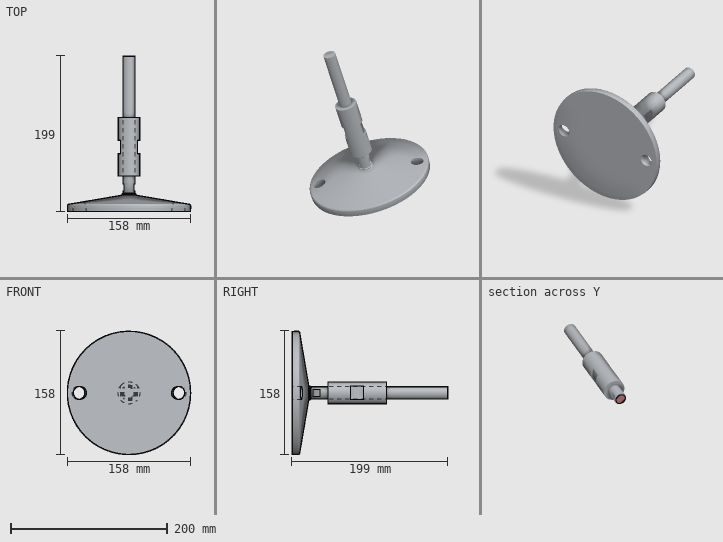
import cadquery as cq
import math

TOTAL_LENGTH = 199.0

FOOT_RADIUS = 79.0
FOOT_BOTTOM_RADIUS = 78.6
RIM_LINE_Y = 4.4
RIM_TOP_Y = 9.4
RIM_ROUNDING = 2.5
CONE_TOP_RADIUS = 10.0
CONE_TOP_Y = 21.0
COLLAR_WAIST_RADIUS = 8.4
COLLAR_WAIST_Y = 22.0
COLLAR_LIP_RADIUS = 9.0
COLLAR_LIP_Y = 22.9
NECK_RADIUS = 6.8
NECK_START_Y = 23.9

FIXING_HOLE_DIAMETER = 16.5
FIXING_HOLE_OFFSET = 62.7

STUD_DIAMETER = 16.0
STUD_START_Y = 24.3
STUD_FLATS_START_Y = 26.3
STUD_FLATS_LENGTH = 9.2
STUD_ACROSS_FLATS = 13.0

SLEEVE_DIAMETER = 28.0
SLEEVE_START_Y = 45.5
SLEEVE_LENGTH = 75.0
SLEEVE_FLATS_START_Y = 74.2
SLEEVE_FLATS_LENGTH = 17.0
SLEEVE_ACROSS_FLATS = 22.0


def cylinder_along_y(diameter, start_y, length):
    """Cylinder on the Y axis, from start_y towards +Y."""
    return cq.Workplane("XZ", origin=(0, start_y, 0)).circle(diameter / 2).extrude(-length)


def cut_wrench_flats(body, diameter, across_flats, start_y, length):
    """Cut a pair of flats that face +X and -X."""
    depth = (diameter - across_flats) / 2
    for side in (-1, 1):
        cutter = cq.Workplane("XY").box(2 * depth, length, diameter)
        body = body.cut(cutter.translate((side * diameter / 2, start_y + length / 2, 0)))
    return body


def rounded_rim_points():
    """Start, middle and end of the arc that rounds the rim into the cone."""
    cone_angle = math.atan2(CONE_TOP_Y - RIM_TOP_Y, FOOT_RADIUS - CONE_TOP_RADIUS)
    tangent = RIM_ROUNDING * math.tan((math.pi / 2 - cone_angle) / 2)
    center_x = FOOT_RADIUS - RIM_ROUNDING
    center_y = RIM_TOP_Y - tangent
    end_angle = math.pi / 2 - cone_angle
    return [
        (center_x + RIM_ROUNDING * math.cos(angle), center_y + RIM_ROUNDING * math.sin(angle))
        for angle in (0, end_angle / 2, end_angle)
    ]


def make_foot():
    rim_start, rim_middle, rim_end = rounded_rim_points()
    foot = (
        cq.Workplane("XY")
        .moveTo(0, 0)
        .lineTo(FOOT_BOTTOM_RADIUS, 0)
        .lineTo(FOOT_RADIUS, RIM_LINE_Y)
        .lineTo(*rim_start)
        .threePointArc(rim_middle, rim_end)
        .lineTo(CONE_TOP_RADIUS, CONE_TOP_Y)
        .lineTo(COLLAR_WAIST_RADIUS, COLLAR_WAIST_Y)
        .lineTo(COLLAR_LIP_RADIUS, COLLAR_LIP_Y)
        .lineTo(NECK_RADIUS, NECK_START_Y)
        .lineTo(NECK_RADIUS, STUD_START_Y)
        .lineTo(0, STUD_START_Y)
        .close()
        .revolve(360, (0, 0, 0), (0, 1, 0))
    )
    cone_slope = (CONE_TOP_Y - RIM_TOP_Y) / (FOOT_RADIUS - CONE_TOP_RADIUS)
    for side in (-1, 1):
        axis = cq.Vector(side * cone_slope, 1, 0).normalized()
        bottom_center = cq.Vector(side * FIXING_HOLE_OFFSET, 0, 0)
        hole = cq.Solid.makeCylinder(
            FIXING_HOLE_DIAMETER / 2,
            2 * CONE_TOP_Y,
            bottom_center - axis * CONE_TOP_Y,
            axis,
        )
        foot = foot.cut(cq.Workplane(hole))
    return foot


def make_stud():
    stud = cylinder_along_y(STUD_DIAMETER, STUD_START_Y, TOTAL_LENGTH - STUD_START_Y)
    return cut_wrench_flats(
        stud, STUD_DIAMETER, STUD_ACROSS_FLATS, STUD_FLATS_START_Y, STUD_FLATS_LENGTH
    )


def make_sleeve():
    sleeve = cylinder_along_y(SLEEVE_DIAMETER, SLEEVE_START_Y, SLEEVE_LENGTH)
    bore = cylinder_along_y(STUD_DIAMETER, SLEEVE_START_Y, SLEEVE_LENGTH)
    return cut_wrench_flats(
        sleeve.cut(bore),
        SLEEVE_DIAMETER,
        SLEEVE_ACROSS_FLATS,
        SLEEVE_FLATS_START_Y,
        SLEEVE_FLATS_LENGTH,
    )


foot = make_foot()
stud = make_stud()
sleeve = make_sleeve()

result = cq.Compound.makeCompound([foot.val(), stud.val(), sleeve.val()])